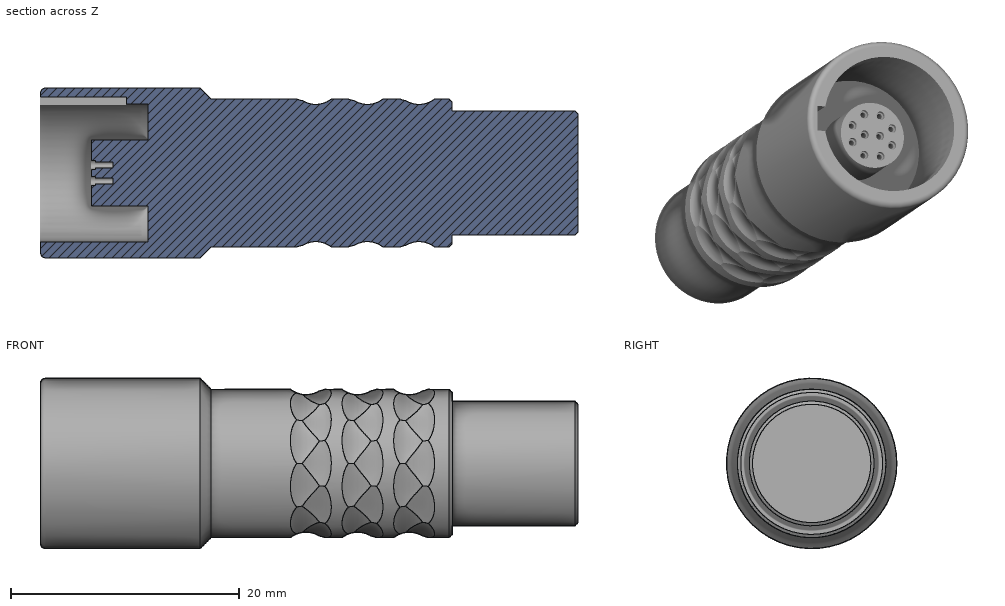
import cadquery as cq
import math

length = 47.0
sleeve_diameter = 14.9
sleeve_radius = sleeve_diameter / 2
sleeve_end = 13.95
body_radius = 6.5
body_end = 36.0
tail_radius = 5.45
mouth_fillet = 0.45
edge_chamfer = 0.3
cone_end = sleeve_end + sleeve_radius - body_radius

socket_radius = 6.0
socket_depth = 9.4
key_width = 2.2
key_depth = 7.5
key_floor_radius = 6.65

insulator_radius = 2.9
insulator_face = 4.45
contact_circle_radius = 1.97
outer_contacts = 8
inner_contact_offset = 0.7
contact_radius = 0.38
contact_recess = 0.35
contact_bore_radius = 0.25
contact_bore_depth = 1.9

band_count = 3
band_pitch = 4.5
first_row_x = 23.2
row_spacing = 0.85
scoops_per_row = 10
scoop_depth = 0.45
scoop_half_length = 1.35
scoop_radius = (scoop_half_length**2 + scoop_depth**2) / (2 * scoop_depth)


def x_cylinder(start, end, radius):
    """Cylinder on the X axis between two stations."""
    return cq.Workplane("YZ", origin=(start, 0, 0)).circle(radius).extrude(end - start)


def make_shell():
    """Sleeve, shoulder, grip body and tail as one turned blank."""
    return (
        cq.Workplane("XY")
        .moveTo(0, 0)
        .lineTo(0, sleeve_radius - mouth_fillet)
        .radiusArc((mouth_fillet, sleeve_radius), mouth_fillet)
        .lineTo(sleeve_end, sleeve_radius)
        .lineTo(cone_end, body_radius)
        .lineTo(body_end - edge_chamfer, body_radius)
        .lineTo(body_end, body_radius - edge_chamfer)
        .lineTo(body_end, tail_radius)
        .lineTo(length - edge_chamfer, tail_radius)
        .lineTo(length, tail_radius - edge_chamfer)
        .lineTo(length, 0)
        .close()
        .revolve(360, (0, 0, 0), (1, 0, 0))
    )


def make_socket():
    """Bore of the mating end with its keyway on the +Y side."""
    bore = x_cylinder(0, socket_depth, socket_radius)
    keyway = cq.Workplane("XY").box(
        key_depth, key_floor_radius, key_width, centered=(False, False, True)
    )
    return bore.union(keyway)


def contact_places():
    """(Y, Z) centres of the ring of contacts and the inner pair."""
    step = 2 * math.pi / outer_contacts
    angles = [(i + 0.5) * step for i in range(outer_contacts)]
    ring = [(contact_circle_radius * math.cos(a), contact_circle_radius * math.sin(a)) for a in angles]
    return ring + [(-inner_contact_offset, 0), (inner_contact_offset, 0)]


def add_insulator(part):
    """Insulator post rising from the socket floor, with a stepped blind hole per contact."""
    post = x_cylinder(insulator_face, socket_depth, insulator_radius)
    places = cq.Workplane("YZ", origin=(insulator_face, 0, 0)).pushPoints(contact_places())
    recesses = places.circle(contact_radius).extrude(contact_recess)
    bores = places.circle(contact_bore_radius).extrude(contact_bore_depth)
    return part.union(post).cut(recesses).cut(bores)


def scoop_row(row_x, first_angle):
    """Cylindrical cutters lying crosswise on the body, spaced evenly around one row."""
    step = 360 / scoops_per_row
    cutter_length = 2 * body_radius * math.tan(math.radians(step))
    axis_distance = body_radius - scoop_depth + scoop_radius
    cutter = (
        cq.Workplane("XZ", origin=(row_x, cutter_length / 2, axis_distance))
        .circle(scoop_radius)
        .extrude(cutter_length)
    )
    return [
        cutter.rotate((0, 0, 0), (1, 0, 0), first_angle + i * step).val()
        for i in range(scoops_per_row)
    ]


def cut_grip(part):
    """Cut the bands; the second row of each band is turned by half a step."""
    half_step = 180 / scoops_per_row
    for band in range(band_count):
        row_x = first_row_x + band * band_pitch
        cutters = scoop_row(row_x, 0) + scoop_row(row_x + row_spacing, half_step)
        for cutter in cutters:
            part = part.cut(cq.Workplane(cutter))
    return part


result = add_insulator(cut_grip(make_shell()).cut(make_socket()))